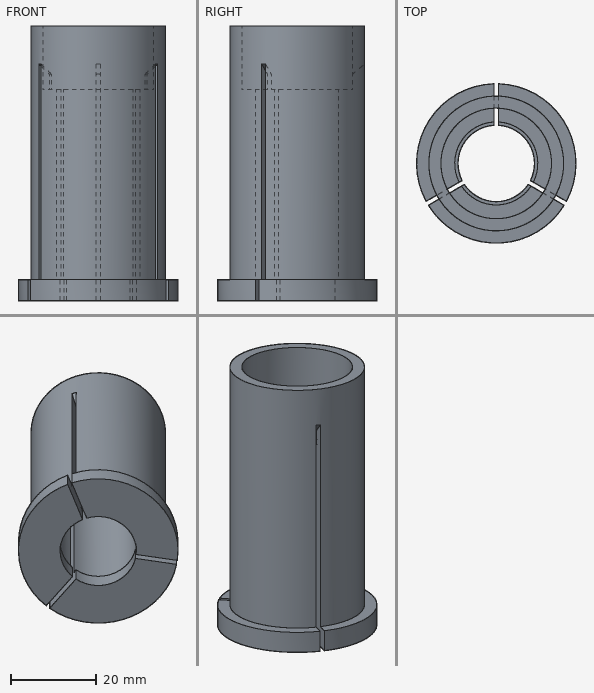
import cadquery as cq

height = 64.6
flange_diameter = 37.5
flange_thickness = 5.05
sleeve_diameter = 31.65

socket_diameter = 26.0
socket_depth = 15.0
middle_bore_diameter = 19.5
lip_bore_diameter = 17.9
lip_thickness = flange_thickness

slot_count = 3
slot_width = 1.05
slot_top = 55.6
slot_end_drop = 2.4
first_slot_angle = 90.0


def cylinder(diameter, bottom, top):
    """Solid cylinder on the Z axis between two heights."""
    return cq.Workplane("XY").workplane(offset=bottom).circle(diameter / 2).extrude(top - bottom)


def radial_slot(angle):
    """Cutter reaching from the axis past the flange rim in one direction."""
    rim_radius = flange_diameter / 2
    sleeve_radius = sleeve_diameter / 2
    wall_thickness = (sleeve_diameter - socket_diameter) / 2
    end_slope = slot_end_drop / wall_thickness
    cutter = (
        cq.Workplane("XZ")
        .moveTo(0, 0)
        .lineTo(rim_radius, 0)
        .lineTo(rim_radius, slot_top)
        .lineTo(sleeve_radius, slot_top)
        .lineTo(0, slot_top - end_slope * sleeve_radius)
        .close()
        .extrude(slot_width / 2, both=True)
    )
    return cutter.rotate((0, 0, 0), (0, 0, 1), angle)


result = cylinder(sleeve_diameter, 0, height)
result = result.union(cylinder(flange_diameter, 0, flange_thickness))

result = result.cut(cylinder(lip_bore_diameter, 0, height))
result = result.cut(cylinder(middle_bore_diameter, lip_thickness, height))
result = result.cut(cylinder(socket_diameter, height - socket_depth, height))

for index in range(slot_count):
    result = result.cut(radial_slot(first_slot_angle + index * 360 / slot_count))